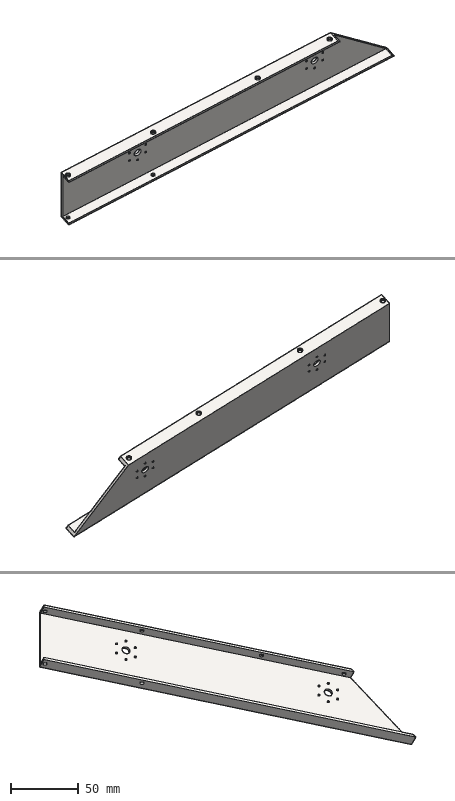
import cadquery as cq

length = 294.0
height = 51.0
depth = 10.0
wall = 2.0

pattern_places = (67.5, 227.5)
pattern_height = height - 20.0
pilot_diameter = 6.2
screw_diameter = 1.5
screw_count = 6
bolt_circle_radius = 8.5

flange_hole_diameter = 3.0
countersink_diameter = 4.0
countersink_angle = 90
end_hole_x = depth / 2
inner_hole_x = 6.2
near_end_hole = (end_hole_x, 2.5)
near_inner_hole = (inner_hole_x, 78.8)
far_inner_hole = (inner_hole_x, 173.2)
far_end_hole = (end_hole_x, 239.0)
top_holes = (near_end_hole, near_inner_hole, far_inner_hole, far_end_hole)
bottom_holes = (near_end_hole, near_inner_hole)


def channel():
    """Channel whose far end is mitred at 45 degrees, longest at the bottom."""
    outline = [(0, 0), (length, 0), (length - height, height), (0, height)]
    body = cq.Workplane("YZ").polyline(outline).close().extrude(depth)
    cavity = cq.Workplane("XY").box(depth, length, height - 2 * wall, centered=False)
    return body.cut(cavity.translate((wall, 0, wall)))


def web_pattern(place):
    """Cutters for a pilot hole and its ring of screw holes."""
    plane = cq.Workplane("YZ").center(place, pattern_height)
    pilot = plane.circle(pilot_diameter / 2).extrude(wall)
    screws = (
        plane.polarArray(bolt_circle_radius, 90, 360, screw_count)
        .circle(screw_diameter / 2)
        .extrude(wall)
    )
    return pilot.union(screws)


def drill_top_flange(body):
    """Countersink the top flange from its outer face."""
    return (
        body.faces(">Z")
        .workplane(origin=(0, 0, height))
        .pushPoints(top_holes)
        .cskHole(flange_hole_diameter, countersink_diameter, countersink_angle, depth=wall)
    )


def bottom_flange_holes():
    """Cutters for the plain holes through the bottom flange."""
    return cq.Workplane("XY").pushPoints(bottom_holes).circle(flange_hole_diameter / 2).extrude(wall)


result = drill_top_flange(channel())
result = result.cut(bottom_flange_holes())
for pattern_place in pattern_places:
    result = result.cut(web_pattern(pattern_place))